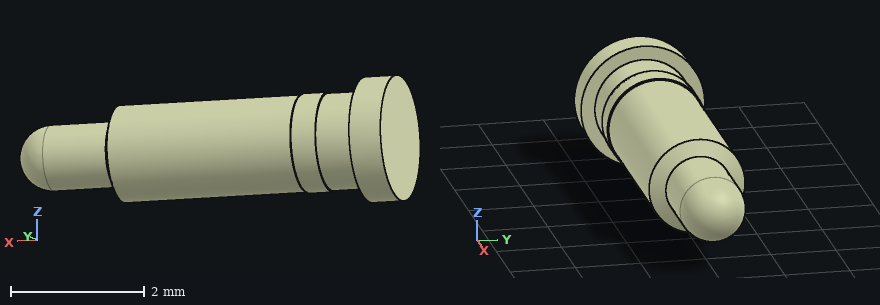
import cadquery as cq

total_length = 6.0
flange_diameter = 1.9
flange_length = 0.5
barrel_diameter = 1.475
band_diameter = 1.51
band_start = 1.1
band_end = 1.5
band_taper = 0.02
barrel_end = 4.5
barrel_nose_length = 0.1
plunger_diameter = 1.0

flange_radius = flange_diameter / 2
barrel_radius = barrel_diameter / 2
band_radius = band_diameter / 2
plunger_radius = plunger_diameter / 2
dome_start = total_length - plunger_radius
dome_mid_offset = plunger_radius * 0.5 ** 0.5

profile = (
    cq.Workplane("XY")
    .moveTo(0, 0)
    .lineTo(0, flange_radius)
    .lineTo(flange_length, flange_radius)
    .lineTo(flange_length, barrel_radius)
    .lineTo(band_start, barrel_radius)
    .lineTo(band_start, band_radius)
    .lineTo(band_end - band_taper, band_radius)
    .lineTo(band_end, barrel_radius)
    .lineTo(barrel_end - barrel_nose_length, barrel_radius)
    .lineTo(barrel_end, plunger_radius)
    .lineTo(dome_start, plunger_radius)
    .threePointArc((dome_start + dome_mid_offset, dome_mid_offset), (total_length, 0))
    .close()
)

result = profile.revolve(360, (0, 0, 0), (1, 0, 0))